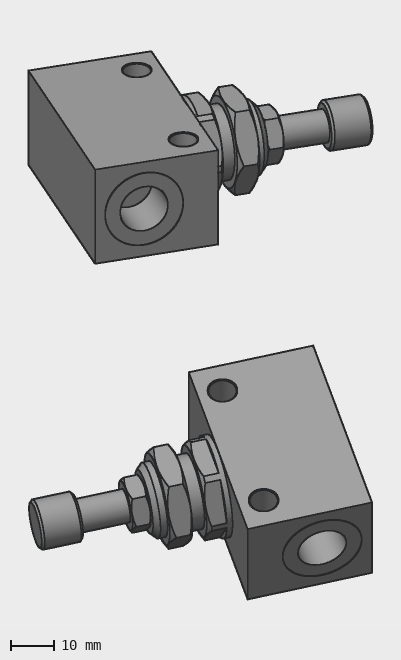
import cadquery as cq
import math

block_width = 50.0
block_depth = 30.0
block_height = 25.0

mount_hole_diameter = 6.5
mount_hole_chamfer = 0.2
mount_hole_cone_angle = 90
mount_hole_spacing = 35.0
mount_hole_y = 24.0

port_y = 12.0
port_diameter = 11.6
port_depth = 12.0
port_seat_diameter = 19.05
port_seat_depth = 0.15

flange_top = 31.4
base_hex_top = 35.9
lock_nut_bottom = 39.3
lock_nut_top = 44.75
neck_top = 47.9
stem_nut_top = 52.3
knob_bottom = 64.1
knob_top = 74.1

flange_diameter = 24.5
neck_diameter = 18.1
neck_chamfer = 1.4
stem_diameter = 8.0
knob_diameter = 12.0
knob_chamfer = 0.6

large_hex_flats = 22.0
stem_nut_flats = 12.0
hex_end_inset = 0.2
hex_half_angle = math.radians(30)
hex_chamfer_slope = math.tan(math.radians(30))


def cylinder(diameter, y_start, y_end):
    """Round bar on the adjuster axis between two Y stations."""
    start = cq.Workplane("XZ", origin=(0, y_start, 0))
    return start.circle(diameter / 2).extrude(y_start - y_end)


def chamfered_envelope(outer_diameter, end_diameter, y_start, y_end, chamfer_start):
    """Round body whose top, and optionally bottom, is cut back by a shallow cone."""
    outer = outer_diameter / 2
    end = end_diameter / 2
    drop = (outer - end) * hex_chamfer_slope
    profile = cq.Workplane("XY").moveTo(0, y_start)
    if chamfer_start:
        profile = profile.lineTo(end, y_start).lineTo(outer, y_start + drop)
    else:
        profile = profile.lineTo(outer, y_start)
    profile = profile.lineTo(outer, y_end - drop).lineTo(end, y_end).lineTo(0, y_end)
    return profile.close().revolve(360, (0, 0, 0), (0, 1, 0))


def hexagon(flats, y_start, y_end, outer_diameter=None, chamfer_start=True):
    """Hexagon with turned ends; a smaller outer diameter also rounds off its corners."""
    corners = flats / math.cos(hex_half_angle)
    prism = cq.Workplane("XZ", origin=(0, y_start, 0)).polygon(6, corners).extrude(y_start - y_end)
    envelope = chamfered_envelope(
        outer_diameter or corners, flats - hex_end_inset, y_start, y_end, chamfer_start
    )
    return prism.intersect(envelope)


def make_block():
    block = cq.Workplane("XY").box(block_width, block_depth, block_height)
    block = block.translate((0, block_depth / 2, 0))
    hole_centers = [(-mount_hole_spacing / 2, 0), (mount_hole_spacing / 2, 0)]
    top_face = block.faces(">Z").workplane(origin=(0, mount_hole_y, 0))
    chamfer_diameter = mount_hole_diameter + 2 * mount_hole_chamfer
    return top_face.pushPoints(hole_centers).cskHole(
        mount_hole_diameter, chamfer_diameter, mount_hole_cone_angle
    )


def make_port(side):
    """Port bore and its shallow seat on the +X (side = 1) or -X (side = -1) end."""
    face = cq.Workplane("YZ", origin=(side * block_width / 2, port_y, 0))
    bore = face.circle(port_diameter / 2).extrude(-side * port_depth)
    seat = face.circle(port_seat_diameter / 2).extrude(-side * port_seat_depth)
    return bore.union(seat)


def make_adjuster():
    flange = cylinder(flange_diameter, block_depth, flange_top)
    base_hex = hexagon(large_hex_flats, flange_top, base_hex_top, flange_diameter, False)
    neck = cylinder(neck_diameter, base_hex_top, neck_top).faces(">Y").chamfer(neck_chamfer)
    lock_nut = hexagon(large_hex_flats, lock_nut_bottom, lock_nut_top)
    stem_nut = hexagon(stem_nut_flats, neck_top, stem_nut_top)
    stem = cylinder(stem_diameter, stem_nut_top, knob_bottom)
    knob = cylinder(knob_diameter, knob_bottom, knob_top).faces("<Y or >Y").chamfer(knob_chamfer)
    adjuster = flange
    for section in (base_hex, neck, lock_nut, stem_nut, stem, knob):
        adjuster = adjuster.union(section)
    return adjuster


body = make_block()
for side in (-1, 1):
    body = body.cut(make_port(side))

result = body.union(make_adjuster())